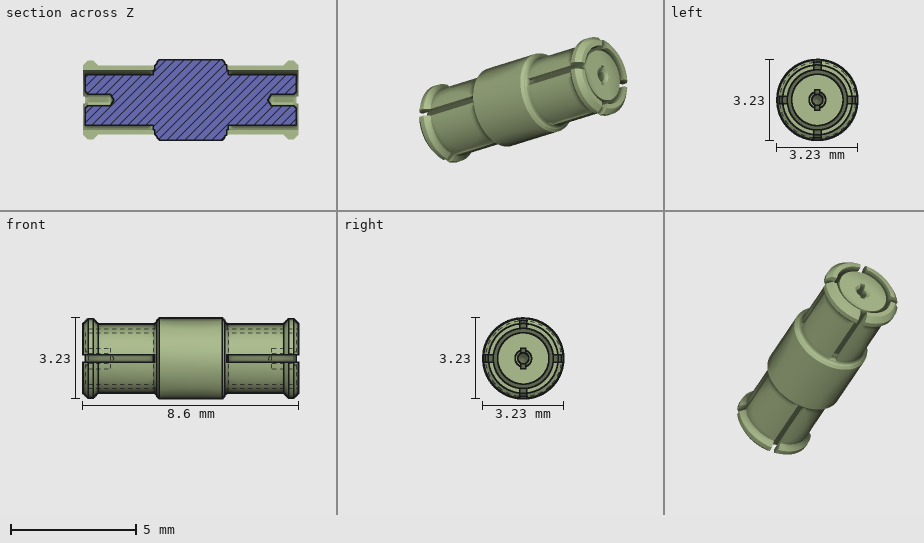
import cadquery as cq
import math

length = 8.6
half_length = length / 2
body_radius = 3.23 / 2
body_half_length = 1.35
body_chamfer = 0.1

sleeve_radius = 1.39
sleeve_bore_radius = 1.2
sleeve_bore_depth = 2.8
root_fillet = body_radius - body_chamfer - sleeve_radius
rim_chamfer = 0.2
rim_radius = sleeve_radius + rim_chamfer
rim_width = 0.6

slot_width = 0.29
slot_depth = 2.86
slot_count = 4

insulator_radius = 1.025
insulator_recess = 0.09

socket_radius = 0.22
socket_mouth_radius = 0.33
socket_depth = 1.0
socket_tip_half_angle = 59
socket_mouth_depth = socket_mouth_radius - socket_radius
contact_slot_width = 0.19
contact_slot_span = 0.82
contact_slot_depth = socket_depth


def revolve_about_x(profile):
    """Revolve a closed profile of (x, radius) points about the X axis."""
    return profile.close().revolve(360, (0, 0, 0), (1, 0, 0))


def outer_half():
    """Solid of revolution for the -X half, from the mid plane to the end face."""
    shoulder_x = -body_half_length
    end_x = -half_length
    fillet_mid_offset = root_fillet * math.sqrt(0.5)
    profile = (
        cq.Workplane("XY")
        .moveTo(0, 0)
        .lineTo(0, body_radius)
        .lineTo(shoulder_x + body_chamfer, body_radius)
        .lineTo(shoulder_x, body_radius - body_chamfer)
        .threePointArc(
            (
                shoulder_x - root_fillet + fillet_mid_offset,
                sleeve_radius + root_fillet - fillet_mid_offset,
            ),
            (shoulder_x - root_fillet, sleeve_radius),
        )
        .lineTo(end_x + rim_width, sleeve_radius)
        .lineTo(end_x + rim_width - rim_chamfer, rim_radius)
        .lineTo(end_x + rim_chamfer, rim_radius)
        .lineTo(end_x, sleeve_radius)
        .lineTo(end_x, 0)
    )
    return revolve_about_x(profile)


def sleeve_cavity():
    """Space inside the sleeve: the annular gap and the recess ahead of the insulator."""
    end_x = -half_length
    profile = (
        cq.Workplane("XY")
        .moveTo(end_x, 0)
        .lineTo(end_x, sleeve_bore_radius)
        .lineTo(end_x + sleeve_bore_depth, sleeve_bore_radius)
        .lineTo(end_x + sleeve_bore_depth, insulator_radius)
        .lineTo(end_x + insulator_recess, insulator_radius)
        .lineTo(end_x + insulator_recess, 0)
    )
    return revolve_about_x(profile)


def finger_slots():
    """Radial slots through the sleeve wall, clear of the insulator core."""
    radial_start = (insulator_radius + sleeve_bore_radius) / 2
    radial_size = body_radius - radial_start
    slot = cq.Workplane("XY").box(slot_depth, slot_width, radial_size, centered=(False, True, False))
    slot = slot.translate((-half_length, 0, radial_start))
    slots = cq.Workplane("XY")
    for index in range(slot_count):
        slots = slots.add(slot.rotate((0, 0, 0), (1, 0, 0), index * 360 / slot_count))
    bore = cq.Workplane("YZ").circle(sleeve_bore_radius).extrude(-length)
    return slots.combine().cut(bore)


def contact_socket():
    """Countersunk, drill-pointed socket crossed by a slot along Z."""
    face_x = -half_length + insulator_recess
    tip_length = socket_radius / math.tan(math.radians(socket_tip_half_angle))
    profile = (
        cq.Workplane("XY")
        .moveTo(face_x, 0)
        .lineTo(face_x, socket_mouth_radius)
        .lineTo(face_x + socket_mouth_depth, socket_radius)
        .lineTo(face_x + socket_depth, socket_radius)
        .lineTo(face_x + socket_depth + tip_length, 0)
    )
    slot = cq.Workplane("XY").box(
        contact_slot_depth, contact_slot_width, contact_slot_span, centered=(False, True, True)
    )
    return revolve_about_x(profile).union(slot.translate((face_x, 0, 0)))


half = outer_half().cut(sleeve_cavity()).cut(finger_slots()).cut(contact_socket())
result = half.union(half.mirror("YZ"))